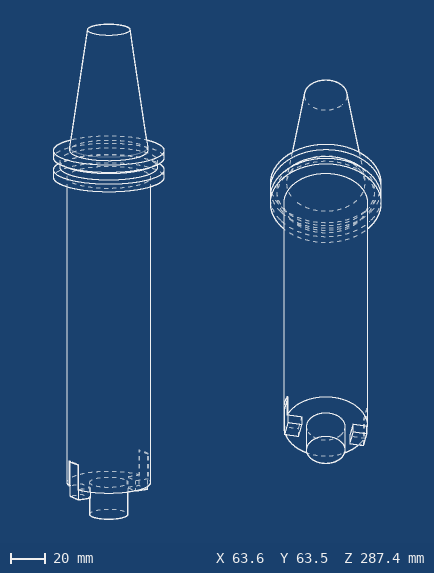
import cadquery as cq

gauge_diameter = 44.45
taper_ratio = 7 / 24
taper_length = 68.45
taper_base_diameter = 44.76
small_end_diameter = gauge_diameter - taper_ratio * taper_length
taper_base_z = -(taper_base_diameter - gauge_diameter) / taper_ratio

flange_diameter = 63.55
flange_top_z = -3.2
flange_bottom_z = -19.1
groove_diameter = 56
groove_mouth_center_z = -11.05
groove_mouth_width = 7
groove_floor_center_z = -11.2
groove_floor_width = 3.8

body_diameter = 48
body_end_z = -200
pilot_diameter = 22
pilot_length = 19
pilot_end_z = body_end_z - pilot_length

key_width = 9.8
key_depth = 8
key_outer_y = 23
key_embedded_length = 14.7
key_top_z = body_end_z + key_embedded_length
key_projection = 6.2
key_bottom_z = body_end_z - key_projection


def make_arbor():
    """Revolve the half section of shank, flange, body and pilot about Z."""
    flange_radius = flange_diameter / 2
    groove_radius = groove_diameter / 2
    half_mouth = groove_mouth_width / 2
    half_floor = groove_floor_width / 2
    half_section = [
        (0, taper_length),
        (small_end_diameter / 2, taper_length),
        (taper_base_diameter / 2, taper_base_z),
        (taper_base_diameter / 2, flange_top_z),
        (flange_radius, flange_top_z),
        (flange_radius, groove_mouth_center_z + half_mouth),
        (groove_radius, groove_floor_center_z + half_floor),
        (groove_radius, groove_floor_center_z - half_floor),
        (flange_radius, groove_mouth_center_z - half_mouth),
        (flange_radius, flange_bottom_z),
        (body_diameter / 2, flange_bottom_z),
        (body_diameter / 2, body_end_z),
        (pilot_diameter / 2, body_end_z),
        (pilot_diameter / 2, pilot_end_z),
        (0, pilot_end_z),
    ]
    return cq.Workplane("XZ").polyline(half_section).close().revolve(360, (0, 0, 0), (0, 1, 0))


def key_block(side, inner_y, outer_y, bottom_z):
    """Box of key width spanning inner_y to outer_y on the +Y (side 1) or -Y (side -1) side."""
    center_y = side * (inner_y + outer_y) / 2
    return (
        cq.Workplane("XY", origin=(0, center_y, bottom_z))
        .rect(key_width, outer_y - inner_y)
        .extrude(key_top_z - bottom_z)
    )


def add_drive_key(arbor, side):
    """Seat a drive key, sunk below the body surface, in an open slot at the body end."""
    slot = key_block(side, key_outer_y, body_diameter / 2, body_end_z)
    key = key_block(side, key_outer_y - key_depth, key_outer_y, key_bottom_z)
    return arbor.cut(slot).union(key)


result = make_arbor()
for key_side in (1, -1):
    result = add_drive_key(result, key_side)